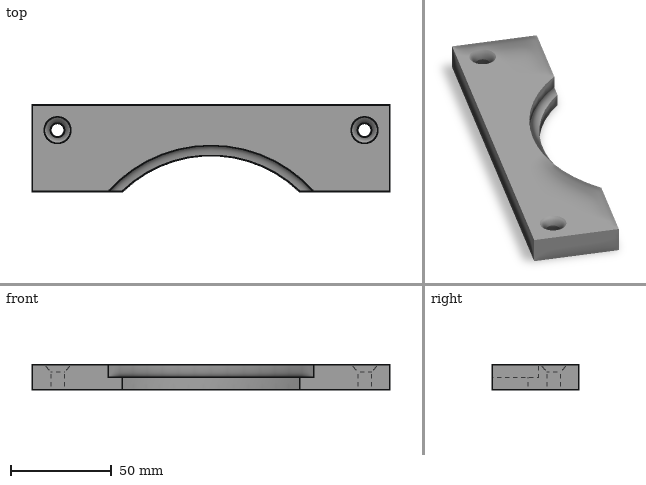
import cadquery as cq

length = 177.8
width = 43.2
thickness = 12.6

bore_centre_y = -45.3
bore_radius = 63.3
recess_radius = 68.3
recess_depth = 6.4

hole_inset = 12.6
hole_diameter = 6.8
countersink_diameter = 13.2
countersink_angle = 82.0


def cutout_disc(radius, bottom_z):
    """Cylinder from bottom_z up to the top face, centred on the cutout axis."""
    return (
        cq.Workplane("XY", origin=(0, bore_centre_y, bottom_z))
        .circle(radius)
        .extrude(thickness - bottom_z)
    )


plate = cq.Workplane("XY").box(length, width, thickness, centered=(True, False, False))

plate = plate.cut(cutout_disc(bore_radius, 0))
plate = plate.cut(cutout_disc(recess_radius, thickness - recess_depth))

hole_x = length / 2 - hole_inset
hole_y = width - hole_inset
result = (
    cq.Workplane("XY", origin=(0, 0, thickness))
    .add(plate)
    .pushPoints([(-hole_x, hole_y), (hole_x, hole_y)])
    .cskHole(hole_diameter, countersink_diameter, countersink_angle)
)